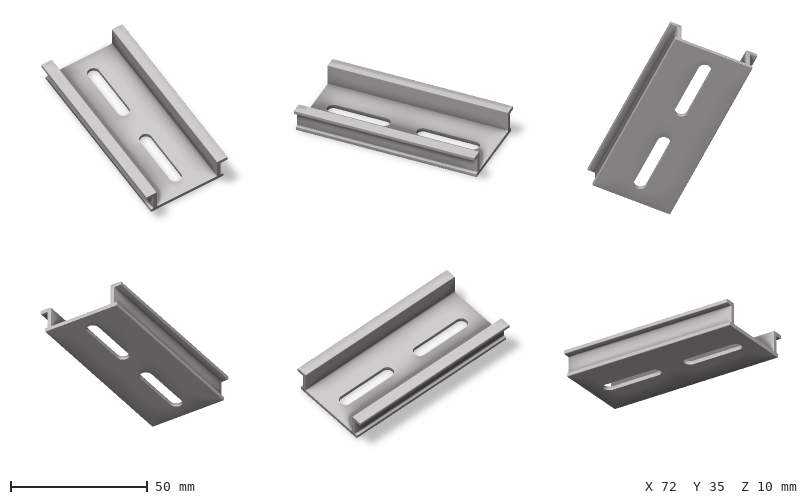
import cadquery as cq

length = 72.0
width = 35.0
height = 10.0

thickness = 1.5
channel_width = 26.0
base_width = 31.25
web_outer_width = channel_width + 2 * thickness
floor_fillet = 0.4
edge_fillet = 0.3

slot_length = 25.0
slot_width = 4.8
slot_spacing = 35.65


def half_profile():
    """Right half of the hat section, as (y, z) points from bottom centre to floor centre."""
    flange_bottom = height - thickness
    return [
        (0, 0),
        (base_width / 2, 0),
        (base_width / 2, thickness),
        (web_outer_width / 2, thickness),
        (web_outer_width / 2, flange_bottom),
        (width / 2, flange_bottom),
        (width / 2, height),
        (channel_width / 2, height),
        (channel_width / 2, thickness),
        (0, thickness),
    ]


def floor_corner_edges(body):
    """Lengthwise edges where the floor meets the inner faces of the two webs."""
    margin = thickness / 2
    corners = cq.selectors.BoxSelector(
        (-length, -channel_width / 2 - margin, thickness - margin),
        (length, channel_width / 2 + margin, thickness + margin),
        boundingbox=False,
    )
    return body.edges("|X").edges(corners)


rail = (
    cq.Workplane("YZ")
    .polyline(half_profile())
    .mirrorY()
    .extrude(length / 2, both=True)
)

floor_corners = floor_corner_edges(rail).vals()
small_edges = [edge for edge in rail.edges("|X").vals() if edge not in floor_corners]
rail = rail.newObject(small_edges).fillet(edge_fillet)
rail = floor_corner_edges(rail).fillet(floor_fillet)

slots = (
    cq.Workplane("XY")
    .rarray(slot_spacing, 0.7, 2, 1)
    .slot2D(slot_length, slot_width)
    .extrude(thickness)
)

result = rail.cut(slots)